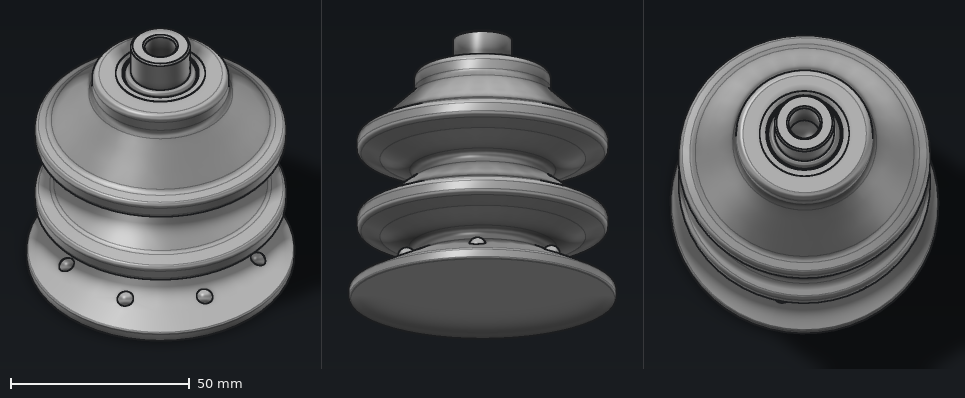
import cadquery as cq
import math


TOTAL_HEIGHT = 76.3

LIP_RADIUS = 75.0 / 2
LIP_HEIGHT = 3.05
LIP_BOTTOM_ROUNDING = 0.5
LIP_TOP_ROUNDING = 0.6

FOLD_PITCH = 22.8
FOLD_RADIUS = 70.4 / 2
FOLD_ROUNDING = 1.5
FOLD_BOTTOM_Z = 20.05
FOLD_TOP_Z = 24.7
UNDERSIDE_BREAK_RADIUS = 28.75
UNDERSIDE_BREAK_DROP = 1.75
SHOULDER_SLOPE = 0.37
LOWER_SHOULDER_RADIUS = 30.4
UPPER_SHOULDER_RADIUS = 31.3
SHOULDER_ROUNDING = 4.6

LOWER_THROAT_RADIUS = 16.2
LOWER_THROAT_Z = 13.3
UPPER_THROAT_RADIUS = 16.85
UPPER_THROAT_Z = 36.3
THROAT_ROUNDING = 2.1

NECK_RADIUS = 19.15
NECK_BASE_Z = 60.2
NECK_BASE_ROUNDING = 3.05
NECK_TOP_Z = 66.3
NECK_TOP_ROUNDING = 1.9

BUMP_COUNT = 8
BUMP_CIRCLE_RADIUS = 28.6
BUMP_RADIUS = 2.45
BUMP_CENTER_Z = 6.3

WASHER_RADIUS = 12.5
WASHER_PROUD = 0.15
WASHER_TOP_Z = NECK_TOP_Z + WASHER_PROUD
WASHER_EDGE_RADIUS = 10.75
WASHER_CHAMFER = 0.2

RING_RADIUS = 8.8
RING_SECTION_RADIUS = 1.3
RING_TOP_Z = 67.1
RING_CENTER_Z = RING_TOP_Z - RING_SECTION_RADIUS
RECESS_FLOOR_Z = RING_CENTER_Z - RING_SECTION_RADIUS

STEM_RADIUS = 8.3
STEM_CHAMFER = 0.5
STEM_BOTTOM_Z = NECK_BASE_Z
BORE_RADIUS = 8.8 / 2
BORE_MOUTH_CHAMFER = 0.5
BORE_END_RADIUS = 7.25
STEM_FLOOR = 3.05
BORE_TIP_Z = STEM_BOTTOM_Z + STEM_FLOOR


def rounded_corner(before, corner, after, rounding):
    """Start, middle and end of the arc that rounds a corner between two straight stretches."""
    cx, cz = corner
    back = math.atan2(before[1] - cz, before[0] - cx)
    ahead = math.atan2(after[1] - cz, after[0] - cx)
    half_angle = math.acos(math.cos(back - ahead)) / 2
    setback = rounding / math.tan(half_angle)
    to_arc = rounding / math.sin(half_angle) - rounding
    inward = math.atan2(math.sin(back) + math.sin(ahead), math.cos(back) + math.cos(ahead))
    return [
        (cx + length * math.cos(angle), cz + length * math.sin(angle))
        for length, angle in ((setback, back), (to_arc, inward), (setback, ahead))
    ]


def revolved(corners):
    """Solid of revolution about Z from (radius, z, rounding) corners; it starts and ends on the axis."""
    points = [(radius, z) for radius, z, _ in corners]
    outline = cq.Workplane("XZ").moveTo(*points[0])
    for index in range(1, len(corners) - 1):
        rounding = corners[index][2]
        if rounding == 0:
            outline = outline.lineTo(*points[index])
        else:
            start, middle, end = rounded_corner(*points[index - 1:index + 2], rounding)
            outline = outline.lineTo(*start).threePointArc(middle, end)
    return outline.lineTo(*points[-1]).close().revolve(360, (0, 0, 0), (0, 1, 0))


def cylinder(radius, bottom_z, top_z):
    return cq.Workplane("XY", origin=(0, 0, bottom_z)).circle(radius).extrude(top_z - bottom_z)


def fold_corners(lift, shoulder_radius):
    """Outline corners of one bellows fold, from its underside up to its shoulder."""
    bottom_z = FOLD_BOTTOM_Z + lift
    top_z = FOLD_TOP_Z + lift
    shoulder_z = top_z + SHOULDER_SLOPE * (FOLD_RADIUS - shoulder_radius)
    return [
        (UNDERSIDE_BREAK_RADIUS, bottom_z - UNDERSIDE_BREAK_DROP, 0),
        (FOLD_RADIUS, bottom_z, FOLD_ROUNDING),
        (FOLD_RADIUS, top_z, FOLD_ROUNDING),
        (shoulder_radius, shoulder_z, SHOULDER_ROUNDING),
    ]


def make_bumps():
    bump_places = cq.Workplane("XY", origin=(0, 0, BUMP_CENTER_Z)).polarArray(
        BUMP_CIRCLE_RADIUS, 0, 360, BUMP_COUNT
    )
    return bump_places.sphere(BUMP_RADIUS)


def make_sealing_ring():
    section = cq.Workplane("XZ").center(RING_RADIUS, RING_CENTER_Z).circle(RING_SECTION_RADIUS)
    return section.revolve(360, (-RING_RADIUS, 0, 0), (-RING_RADIUS, 1, 0))


def make_bellows():
    body = revolved([
        (0, 0, 0),
        (LIP_RADIUS, 0, LIP_BOTTOM_ROUNDING),
        (LIP_RADIUS, LIP_HEIGHT, LIP_TOP_ROUNDING),
        (LOWER_THROAT_RADIUS, LOWER_THROAT_Z, THROAT_ROUNDING),
        *fold_corners(0, LOWER_SHOULDER_RADIUS),
        (UPPER_THROAT_RADIUS, UPPER_THROAT_Z, THROAT_ROUNDING),
        *fold_corners(FOLD_PITCH, UPPER_SHOULDER_RADIUS),
        (NECK_RADIUS, NECK_BASE_Z, NECK_BASE_ROUNDING),
        (NECK_RADIUS, NECK_TOP_Z, NECK_TOP_ROUNDING),
        (0, NECK_TOP_Z, 0),
    ])
    washer_recess = cylinder(WASHER_RADIUS, RECESS_FLOOR_Z, NECK_TOP_Z)
    stem_hole = cylinder(STEM_RADIUS, STEM_BOTTOM_Z, NECK_TOP_Z)
    return body.union(make_bumps()).cut(washer_recess).cut(stem_hole)


def make_washer():
    bore = cylinder(WASHER_EDGE_RADIUS - WASHER_CHAMFER, RECESS_FLOOR_Z, WASHER_TOP_Z)
    washer = cylinder(WASHER_RADIUS, RECESS_FLOOR_Z, WASHER_TOP_Z).cut(bore)
    return washer.faces(">Z").edges(cq.selectors.RadiusNthSelector(0)).chamfer(WASHER_CHAMFER)


def make_stem():
    shaft = cylinder(STEM_RADIUS, STEM_BOTTOM_Z, TOTAL_HEIGHT).faces(">Z").edges().chamfer(STEM_CHAMFER)
    end_center_z = BORE_TIP_Z + BORE_END_RADIUS
    end_ball = cq.Workplane("XY", origin=(0, 0, end_center_z)).sphere(BORE_END_RADIUS)
    round_end = cylinder(BORE_RADIUS, BORE_TIP_Z, end_center_z).intersect(end_ball)
    bore = cylinder(BORE_RADIUS, end_center_z, TOTAL_HEIGHT)
    shaft = shaft.cut(bore.union(round_end))
    mouth = shaft.faces(">Z").edges(cq.selectors.RadiusNthSelector(0))
    return mouth.chamfer(BORE_MOUTH_CHAMFER).cut(make_sealing_ring())


bellows = make_bellows()
washer = make_washer()
sealing_ring = make_sealing_ring()
stem = make_stem()

result = cq.Compound.makeCompound([bellows.val(), washer.val(), sealing_ring.val(), stem.val()])